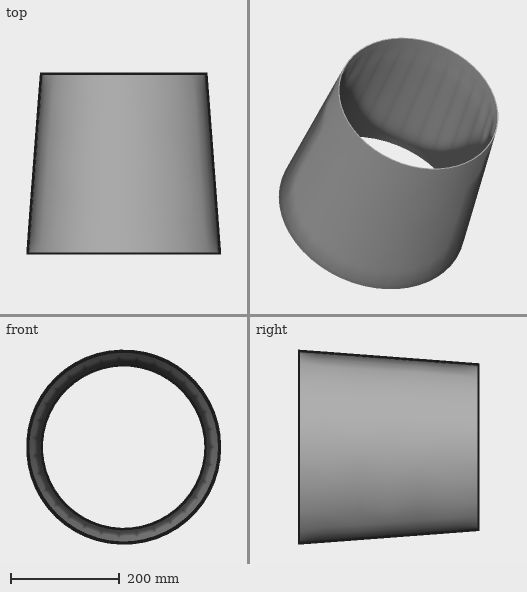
import cadquery as cq

LENGTH = 330.0
WALL = 2.0
WIDE_RADIUS = 354.0 / 2
NARROW_RADIUS = 304.0 / 2


def reducer_shell():
    """Revolve the sloping wall section about the Y axis."""
    section = [
        (WIDE_RADIUS - WALL, 0),
        (WIDE_RADIUS, 0),
        (NARROW_RADIUS, LENGTH),
        (NARROW_RADIUS - WALL, LENGTH),
    ]
    return cq.Workplane("XY").polyline(section).close().revolve(360, (0, 0), (0, 1))


result = reducer_shell()